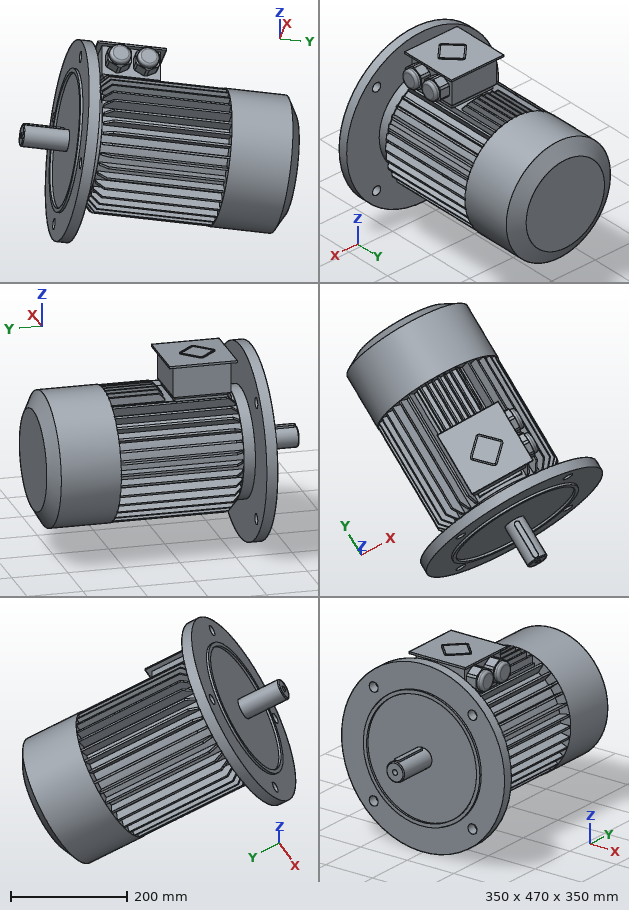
import cadquery as cq
import math


total_length = 470.0
shaft_length = 81.0
rear_end = total_length - shaft_length
cowl_taper_length = 18.0
cowl_shoulder = rear_end - cowl_taper_length
cowl_front = 264.0
flange_thickness = 19.7
neck_end = 40.0
fin_front = 42.5

flange_diameter = 350.0
spigot_diameter = 250.0
recess_diameter = 236.0
spigot_height = 4.0
bolt_circle_diameter = 300.0
bolt_hole_diameter = 19.0
bolt_count = 4

shaft_diameter = 38.0
shaft_chamfer = 2.0
center_hole_diameter = 10.5
center_hole_depth = 19.0
drill_point_angle = 118.0
key_width = 10.0
key_top = 22.0
key_bottom = 14.0
key_end_gap = 2.5
key_length = 74.0

neck_diameter = 200.0
core_diameter = 197.0
cowl_diameter = 240.0
cowl_rear_diameter = 180.5

fin_diameter = 238.5
fin_chamfer = 14.5
fin_thickness = 3.8
fin_pitch_angle = 10
first_fin_angle = -240
last_fin_angle = 60
top_fin_offsets = (-36.0, -23.5, -11.8, 0.0, 11.8, 23.5, 36.0)
top_fin_thickness = 3.0
top_fin_front = 164.0
top_fin_chamfer = 10.0

pad_width = 84.0
pad_top = 99.5
pad_front = 47.0

box_center = 101.5
box_side = 103.5
box_bottom = 105.0
box_top = 166.0
box_chamfer = 4.5
foot_side = box_side - 2 * box_chamfer
lid_side = 121.0
lid_thickness = 3.8
lid_top = box_top + lid_thickness
badge_side = 47.5
badge_corner_radius = 5.5
badge_height = 1.5
badge_center = 96.5
badge_rim = 3.0
badge_recess_depth = 1.0

gland_spacing = 49.5
gland_height = 137.5
nut_across_flats = 42.0
nut_corner_diameter = 45.5
nut_length = 20.5
cap_diameter = 38.0
cap_length = 10.0
cap_rounding = 5.0


def revolve_profile(points):
    """Turn a closed outline of (radius, Y) points about the Y axis."""
    return cq.Workplane("XY").polyline(points).close().revolve(360, (0, 0, 0), (0, 1, 0))


def axial_cylinder(diameter, start, end):
    """Cylinder on the Y axis between two stations."""
    return revolve_profile([(0, start), (diameter / 2, start), (diameter / 2, end), (0, end)])


def block(width, start, end, bottom, top, x_center=0.0):
    """Box from its X width, its Y range and its Z range."""
    size = cq.Workplane("XY").box(width, end - start, top - bottom)
    return size.translate((x_center, (start + end) / 2, (bottom + top) / 2))


def make_flange():
    flange = axial_cylinder(flange_diameter, 0, flange_thickness)
    spigot = axial_cylinder(spigot_diameter, -spigot_height, 0)
    recess = axial_cylinder(recess_diameter, -spigot_height, 0)
    bolt_holes = (
        cq.Workplane("XZ")
        .polarArray(bolt_circle_diameter / 2, 45, 360, bolt_count)
        .circle(bolt_hole_diameter / 2)
        .extrude(-flange_thickness)
    )
    return flange.union(spigot.cut(recess)).cut(bolt_holes)


def make_shaft():
    shaft = axial_cylinder(shaft_diameter, -shaft_length, 0).faces("<Y").chamfer(shaft_chamfer)
    key = (
        cq.Workplane("XY", origin=(0, -shaft_length + key_end_gap + key_length / 2, key_bottom))
        .slot2D(key_length, key_width, 90)
        .extrude(key_top - key_bottom)
    )
    hole_radius = center_hole_diameter / 2
    hole_end = -shaft_length + center_hole_depth
    drill_tip = hole_end + hole_radius / math.tan(math.radians(drill_point_angle / 2))
    center_hole = revolve_profile(
        [(0, -shaft_length), (hole_radius, -shaft_length), (hole_radius, hole_end), (0, drill_tip)]
    )
    return shaft.union(key).cut(center_hole)


def make_housing():
    neck = axial_cylinder(neck_diameter, flange_thickness, neck_end)
    core = axial_cylinder(core_diameter, neck_end, cowl_front)
    cowl = revolve_profile(
        [
            (0, cowl_front),
            (cowl_diameter / 2, cowl_front),
            (cowl_diameter / 2, cowl_shoulder),
            (cowl_rear_diameter / 2, rear_end),
            (0, rear_end),
        ]
    )
    pad = block(pad_width, pad_front, cowl_front, 0, pad_top)
    return neck.union(core).union(cowl).union(pad)


def fin_envelope(front, chamfer):
    """Turned outline that bounds the fin tips and bevels their front ends."""
    radius = fin_diameter / 2
    return revolve_profile(
        [
            (0, front),
            (radius - chamfer, front),
            (radius, front + chamfer),
            (radius, cowl_front),
            (0, cowl_front),
        ]
    )


def make_radial_fins():
    radius = fin_diameter / 2
    half_thickness = fin_thickness / 2
    fin = block(radius, fin_front, cowl_front, -half_thickness, half_thickness, radius / 2)
    fins = cq.Workplane("XY")
    for angle in range(first_fin_angle, last_fin_angle + fin_pitch_angle, fin_pitch_angle):
        fins = fins.union(fin.rotate((0, 0, 0), (0, -1, 0), angle))
    return fins.intersect(fin_envelope(fin_front, fin_chamfer))


def make_top_fins():
    fins = cq.Workplane("XY")
    for offset in top_fin_offsets:
        fins = fins.union(block(top_fin_thickness, top_fin_front, cowl_front, 0, fin_diameter / 2, offset))
    return fins.intersect(fin_envelope(top_fin_front, top_fin_chamfer))


def make_terminal_box():
    def centered(side, bottom, top):
        return block(side, box_center - side / 2, box_center + side / 2, bottom, top)

    body = centered(box_side, box_bottom, box_top).faces("<Z").chamfer(box_chamfer)
    foot = centered(foot_side, pad_top, box_bottom)
    lid = centered(lid_side, box_top, lid_top)
    return body.union(foot).union(lid)


def make_badge():
    """Diamond-shaped plate on the lid with a raised rim."""

    def diamond(side, corner_radius, bottom, top):
        plate = block(side, -side / 2, side / 2, bottom, top).edges("|Z").fillet(corner_radius)
        return plate.rotate((0, 0, 0), (0, 0, 1), 45).translate((0, badge_center, 0))

    badge_top = lid_top + badge_height
    plate = diamond(badge_side, badge_corner_radius, lid_top, badge_top)
    recess_side = badge_side - 2 * badge_rim
    recess_radius = badge_corner_radius - badge_rim
    return plate.cut(diamond(recess_side, recess_radius, badge_top - badge_recess_depth, badge_top))


def make_gland(y_center):
    nut_across_corners = nut_across_flats / math.cos(math.radians(30))
    nut_plane = cq.Workplane("YZ", origin=(box_side / 2, y_center, gland_height))
    hexagon = nut_plane.transformed(rotate=(0, 0, 90)).polygon(6, nut_across_corners).extrude(nut_length)
    nut = hexagon.intersect(nut_plane.circle(nut_corner_diameter / 2).extrude(nut_length))
    cap = (
        nut_plane.workplane(offset=nut_length)
        .circle(cap_diameter / 2)
        .extrude(cap_length)
        .faces(">X")
        .edges()
        .fillet(cap_rounding)
    )
    return nut.union(cap)


motor = make_flange().union(make_shaft()).union(make_housing())
motor = motor.union(make_radial_fins()).union(make_top_fins())
motor = motor.union(make_terminal_box()).union(make_badge())
for side in (-1, 1):
    motor = motor.union(make_gland(box_center + side * gland_spacing / 2))

result = motor